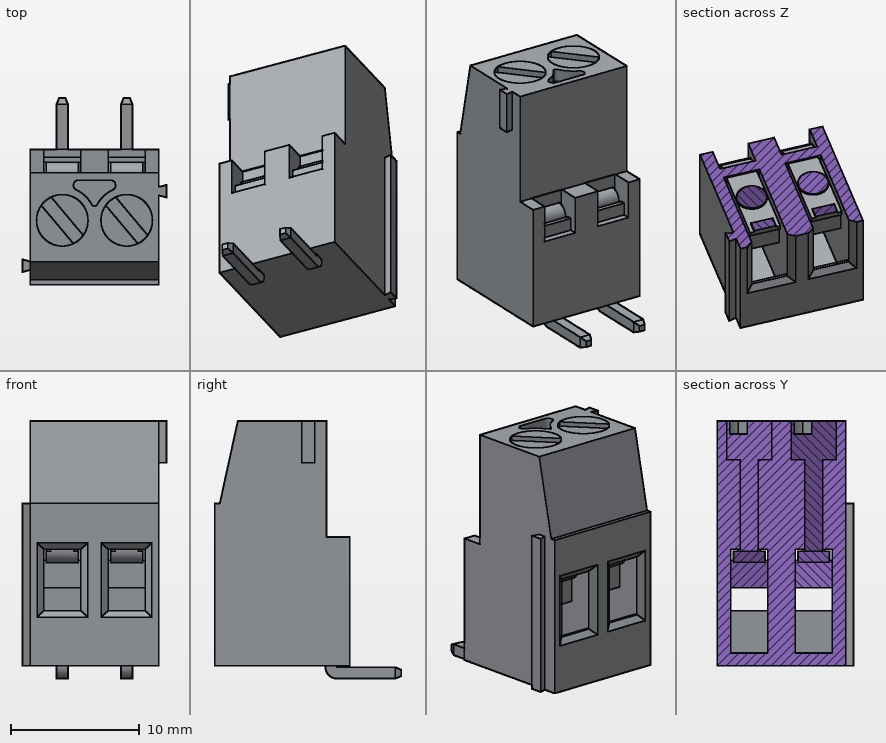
import cadquery as cq
import math

width = 10.0
height = 19.0
overall_height = 20.0
depth = 10.5
rear_step_z = 10.0
rear_step_y = 8.7
slope_foot_y = 0.4
slope_foot_z = 12.6
slope_top_y = 1.8

pole_xs = (-width / 4, width / 4)

rib_reach = 0.6
rib_root = 0.68
rib_crest = 1.0
left_rib_y = 1.48
left_rib_height = slope_foot_z
right_rib_y = 7.25
right_rib_height = 3.25

chamber_width = 2.85
chamber_floor = 1.0
chamber_front = 0.6
throat_bottom = 4.28
throat_top = 9.05
mouth_width = 3.95
mouth_inset = 0.02
mouth_flare = 0.5
mouth_depth = 0.4

screw_y = 5.0
head_diameter = 4.0
head_height = 3.0
shank_diameter = 2.4
slot_width = 1.0
slot_depth = 1.0
slot_angle = -50.0

recess_depth = 1.0
recess_back_y = 8.12
recess_side_radius = 2.6
recess_corner_radius = 0.4
recess_tip_radius = 0.25

stock = 0.9
strap_width = 2.45
strap_bottom = 8.0
strap_top = strap_bottom + stock
tab_width = 1.8
tab_height = 1.0
shoulder_slope = 55.0
shoulder_drop = (chamber_width - strap_width) / 2 * math.tan(math.radians(shoulder_slope))
shoulder_foot = strap_bottom - shoulder_drop
leg_back = 9.5
leg_front = leg_back - stock
pin_bottom = height - overall_height
pin_top = pin_bottom + stock
pin_end_y = 14.5
tip_length = 0.5
tip_width = 0.5

ledge_y = 9.9
ledge_z = strap_bottom
notch_floor = 7.0

clamp_front = 2.4
clamp_bottom = 6.05
clamp_back = 2 * screw_y - clamp_front
clamp_top = 8.2

tab_front = clamp_front - stock


def box(x_centre, x_size, y_range, z_range):
    """Axis-aligned box, centred on x_centre."""
    y0, y1 = y_range
    z0, z1 = z_range
    centre = (x_centre, (y0 + y1) / 2, (z0 + z1) / 2)
    return cq.Workplane("XY").box(x_size, y1 - y0, z1 - z0).translate(centre)


def bend_middle(centre, y_side, z_side):
    """Middle point of a quarter bend of radius `stock`, on the given side of its centre."""
    reach = stock * math.sqrt(0.5)
    return (centre[0] + y_side * reach, centre[1] + z_side * reach)


def make_lead(x):
    front_centre = (tab_front + stock, strap_top)
    rear_centre = (leg_front, strap_bottom)
    strap = (
        cq.Workplane("YZ")
        .moveTo(tab_front, strap_top)
        .threePointArc(bend_middle(front_centre, -1, -1), (tab_front + stock, strap_bottom))
        .lineTo(leg_back, strap_bottom)
        .threePointArc(bend_middle(rear_centre, 1, 1), (leg_front, strap_top))
        .close()
        .extrude(strap_width / 2, both=True)
    )
    tab = box(0, tab_width, (tab_front, clamp_front), (strap_top, strap_top + tab_height))

    right_side = [
        (stock / 2, pin_top),
        (stock / 2, chamber_floor),
        (chamber_width / 2, chamber_floor),
        (chamber_width / 2, shoulder_foot),
        (strap_width / 2, strap_bottom),
    ]
    left_side = [(-px, pz) for px, pz in reversed(right_side)]
    leg = (
        cq.Workplane("XZ", origin=(0, leg_front, 0))
        .polyline(right_side + left_side)
        .close()
        .extrude(-stock)
    )

    shaft_end = pin_end_y - tip_length
    pin = (
        cq.Workplane("YZ")
        .moveTo(leg_front, pin_top)
        .threePointArc(bend_middle((leg_back, pin_top), -1, -1), (leg_back, pin_bottom))
        .lineTo(shaft_end, pin_bottom)
        .lineTo(shaft_end, pin_top)
        .close()
        .extrude(stock / 2, both=True)
    )
    tip = (
        cq.Workplane("XZ", origin=(0, shaft_end, (pin_bottom + pin_top) / 2))
        .rect(stock, stock)
        .workplane(offset=-tip_length)
        .rect(tip_width, tip_width)
        .loft(combine=True)
    )
    return strap.union(tab).union(leg).union(pin).union(tip).translate((x, 0, 0))


def make_clamp(x, lead):
    block = box(x, chamber_width, (clamp_front, clamp_back), (clamp_bottom, clamp_top))
    return block.cut(lead)


def screw_blank(x):
    """Screw without its slot; also the shape of its hole in the housing."""
    shank_length = height - head_height - strap_top
    return (
        cq.Workplane("XY", origin=(x, screw_y, height))
        .circle(head_diameter / 2)
        .extrude(-head_height)
        .faces("<Z")
        .workplane()
        .circle(shank_diameter / 2)
        .extrude(shank_length)
    )


def make_screw(x):
    slot = (
        cq.Workplane("XY")
        .box(2 * head_diameter, slot_width, 2 * slot_depth)
        .rotate((0, 0, 0), (0, 0, 1), slot_angle)
        .translate((x, screw_y, height))
    )
    return screw_blank(x).cut(slot)


def make_rib(side, y, z_bottom, rib_height):
    """Dovetail rib on the side wall at X = side * width / 2."""
    wall = side * width / 2
    crest = wall + side * rib_reach
    return (
        cq.Workplane("XY", origin=(0, y, z_bottom))
        .polyline([
            (wall, -rib_root / 2),
            (crest, -rib_crest / 2),
            (crest, rib_crest / 2),
            (wall, rib_root / 2),
        ])
        .close()
        .extrude(rib_height)
    )


def triangular_recess():
    """Rounded triangle with two concave sides, centred on X = 0."""
    screw_x = pole_xs[1]
    corner_y = recess_back_y - recess_corner_radius
    corner_rise = corner_y - screw_y
    corner_reach = recess_side_radius + recess_corner_radius
    corner_x = screw_x - math.sqrt(corner_reach**2 - corner_rise**2)
    tip_reach = recess_side_radius + recess_tip_radius
    tip_y = screw_y + math.sqrt(tip_reach**2 - screw_x**2)

    corner_angle = math.atan2(corner_rise, corner_x - screw_x)
    tip_angle = math.atan2(tip_y - screw_y, -screw_x)

    def on_side(angle):
        return (
            screw_x + recess_side_radius * math.cos(angle),
            screw_y + recess_side_radius * math.sin(angle),
        )

    def mirrored(point):
        return (-point[0], point[1])

    corner_start = (corner_x, recess_back_y)
    corner_turn = (corner_angle - math.pi / 2) / 2
    corner_middle = (
        corner_x + recess_corner_radius * math.cos(corner_turn),
        corner_y + recess_corner_radius * math.sin(corner_turn),
    )
    side_start = on_side(corner_angle)
    side_middle = on_side((corner_angle + tip_angle) / 2)
    side_end = on_side(tip_angle)
    return (
        cq.Workplane("XY", origin=(0, 0, height))
        .moveTo(*mirrored(corner_start))
        .lineTo(*corner_start)
        .threePointArc(corner_middle, side_start)
        .threePointArc(side_middle, side_end)
        .threePointArc((0, tip_y - recess_tip_radius), mirrored(side_end))
        .threePointArc(mirrored(side_middle), mirrored(side_start))
        .threePointArc(mirrored(corner_middle), mirrored(corner_start))
        .close()
        .extrude(-recess_depth)
    )


def wire_entry(x):
    """Tapered mouth, short straight throat, and the chamber that ends behind the clamp."""
    throat_middle = (throat_bottom + throat_top) / 2
    throat_height = throat_top - throat_bottom
    inward = -math.copysign(mouth_inset, x)
    mouth = (
        cq.Workplane("XZ", origin=(x, 0, throat_middle))
        .center(inward, 0)
        .rect(mouth_width, throat_height + 2 * mouth_flare)
        .workplane(offset=-mouth_depth)
        .center(-inward, 0)
        .rect(chamber_width, throat_height)
        .loft(combine=True)
    )
    throat = box(x, chamber_width, (mouth_depth, chamber_front), (throat_bottom, throat_top))
    chamber = box(x, chamber_width, (chamber_front, clamp_back), (chamber_floor, throat_top))
    return mouth.union(throat).union(chamber)


def rear_notch(x):
    """Stepped notch that uncovers the rear bend and the shoulders of a lead."""
    around_lead = box(x, chamber_width, (leg_front, leg_back), (shoulder_foot, rear_step_z))
    upper = box(x, chamber_width, (leg_back, depth), (ledge_z, rear_step_z))
    lower = box(x, chamber_width, (ledge_y, depth), (notch_floor, ledge_z))
    return upper.union(lower).union(around_lead)


def make_housing(leads):
    body = (
        cq.Workplane("YZ")
        .polyline([
            (0, 0),
            (depth, 0),
            (depth, rear_step_z),
            (rear_step_y, rear_step_z),
            (rear_step_y, height),
            (slope_top_y, height),
            (slope_foot_y, slope_foot_z),
            (0, slope_foot_z),
        ])
        .close()
        .extrude(width / 2, both=True)
    )
    body = body.union(make_rib(-1, left_rib_y, 0, left_rib_height))
    body = body.union(make_rib(1, right_rib_y, height - right_rib_height, right_rib_height))
    body = body.cut(triangular_recess())
    for x, lead in zip(pole_xs, leads):
        body = body.cut(wire_entry(x)).cut(rear_notch(x)).cut(screw_blank(x)).cut(lead)
    return body


leads = [make_lead(x) for x in pole_xs]
clamps = [make_clamp(x, lead) for x, lead in zip(pole_xs, leads)]
screws = [make_screw(x) for x in pole_xs]
housing = make_housing(leads)

result = cq.Compound.makeCompound([body.val() for body in [housing, *leads, *clamps, *screws]])